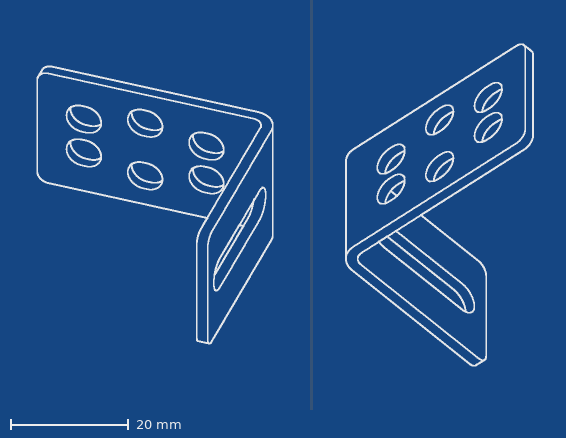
import cadquery as cq

length_x = 43.0
length_y = 36.0
height = 23.5

thickness = 2.0
inner_bend_radius = 1.98
outer_bend_radius = inner_bend_radius + thickness
corner_radius = 2.0

short_slot_length = 6.25
short_slot_height = 5.5
middle_column_x = 19.5
column_spacing = 11.05
side_slot_offset_z = 3.6
middle_slot_offset_z = 5.65

long_slot_length = 26.0
long_slot_height = 6.25
long_slot_from_back = 19.95


def bent_strip():
    """L-shaped strip: back face on y = length_y, outer side face on x = length_x."""
    back_leg = cq.Workplane("XY").box(length_x, thickness, height, centered=False)
    back_leg = back_leg.translate((0, length_y - thickness, 0))
    side_leg = cq.Workplane("XY").box(thickness, length_y, height, centered=False)
    side_leg = side_leg.translate((length_x - thickness, 0, 0))
    strip = back_leg.union(side_leg)
    strip = strip.edges(cq.selectors.NearestToPointSelector((length_x, length_y, height / 2)))
    strip = strip.fillet(outer_bend_radius)
    inner_corner = (length_x - thickness, length_y - thickness, height / 2)
    strip = strip.edges(cq.selectors.NearestToPointSelector(inner_corner))
    return strip.fillet(inner_bend_radius)


def round_free_corners(strip):
    """Round the two corners at the free end of each leg."""
    strip = strip.faces("<X").edges("|Y").fillet(corner_radius)
    return strip.faces("<Y").edges("|X").fillet(corner_radius)


def short_slots():
    """Cutters through the long leg, closer together in the two side columns."""
    columns = (
        (middle_column_x - column_spacing, side_slot_offset_z),
        (middle_column_x, middle_slot_offset_z),
        (middle_column_x + column_spacing, side_slot_offset_z),
    )
    centers = [(x, height / 2 + side * offset) for x, offset in columns for side in (-1, 1)]
    return (
        cq.Workplane("XZ", origin=(0, length_y, 0))
        .pushPoints(centers)
        .slot2D(short_slot_length, short_slot_height)
        .extrude(thickness)
    )


def long_slot():
    """Cutter through the short leg, running along Y."""
    return (
        cq.Workplane("YZ", origin=(length_x - thickness, 0, 0))
        .center(length_y - long_slot_from_back, height / 2)
        .slot2D(long_slot_length, long_slot_height)
        .extrude(thickness)
    )


result = round_free_corners(bent_strip()).cut(short_slots()).cut(long_slot())